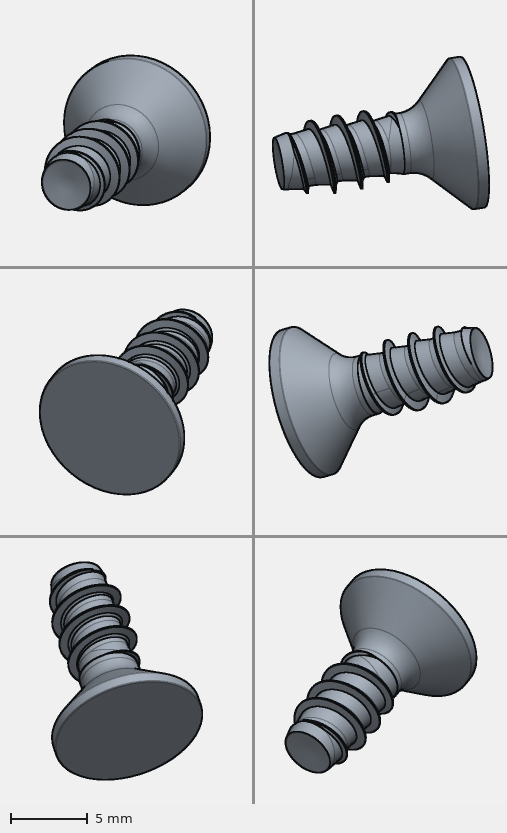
import cadquery as cq
import math


total_length = 13.0
head_radius = 5.0
rim_height = 0.75
rim_edge_radius = 0.06
cone_half_angle = 45.0
neck_radius = 2.0
neck_end_y = -4.99
neck_fillet_radius = 2.0

core_radius = 1.78
core_overlap = 0.65
shoulder_radius = 1.98
shoulder_length = 0.88
tip_radius = 1.72
tip_taper_length = 0.85
tip_taper_radius = 1.92
envelope_clearance = 0.13
tip_recess_radius = 1.65
tip_recess_depth = 0.26

pitch = 1.8
thread_origin_y = -4.46
thread_start_turn = -0.4
thread_end_turn = 4.9
points_per_turn = 16
thread_spans = 5
crest_radius = 2.5
crest_half_width = 0.05
lead_in_radius = 2.0
lead_in_growth = 0.39
runout_start_turn = 3.25
runout_loss = 0.44

flare_top_offset = 0.17
flare_top_drop = 0.55
flare_offset = 0.34
flare_drop = 0.75

ramp_top_offset = -0.2
ramp_top_radius = 1.92
ramp_end_offset = -1.4
ramp_end_radius = 1.74
buried_radius = 0.78


def make_head_and_neck():
    """Revolve the head, the cone, the concave fillet and the neck."""
    cone_angle = math.radians(cone_half_angle)
    junction_radius = neck_radius + neck_fillet_radius * (1 - math.cos(cone_angle))
    junction_y = -rim_height - (head_radius - junction_radius) / math.tan(cone_angle)
    fillet_end_y = junction_y - neck_fillet_radius * math.sin(cone_angle)
    fillet_mid_angle = cone_angle / 2
    fillet_mid = (
        neck_radius + neck_fillet_radius * (1 - math.cos(fillet_mid_angle)),
        fillet_end_y + neck_fillet_radius * math.sin(fillet_mid_angle),
    )
    body = (
        cq.Workplane("XY")
        .lineTo(head_radius, 0)
        .lineTo(head_radius, -rim_height)
        .lineTo(junction_radius, junction_y)
        .threePointArc(fillet_mid, (neck_radius, fillet_end_y))
        .lineTo(neck_radius, neck_end_y)
        .lineTo(0, neck_end_y)
        .close()
        .revolve(360, (0, 0), (0, 1))
    )
    rim_edges = body.edges("%CIRCLE").edges(cq.selectors.RadiusNthSelector(-1))
    return rim_edges.fillet(rim_edge_radius)


def make_core():
    """Core that carries the thread, started inside the neck and narrowing below it."""
    return (
        cq.Workplane("XY")
        .moveTo(0, neck_end_y + core_overlap)
        .lineTo(shoulder_radius, neck_end_y + core_overlap)
        .lineTo(shoulder_radius, neck_end_y)
        .lineTo(core_radius, neck_end_y - shoulder_length)
        .lineTo(core_radius, -total_length)
        .lineTo(0, -total_length)
        .close()
        .revolve(360, (0, 0), (0, 1))
    )


def crest_radius_at(turn):
    """Crest radius, growing out of the neck and fading away at the tip."""
    lead_in = lead_in_radius + lead_in_growth * turn
    runout = crest_radius - runout_loss * (turn - runout_start_turn)
    return min(crest_radius, lead_in, runout)


def helix_edge(offset, drop=0.0, top_radius=crest_radius):
    """Helical edge at an axial offset from the crest and a drop below it, up to a top radius."""
    count = round((thread_end_turn - thread_start_turn) * points_per_turn)
    step = (thread_end_turn - thread_start_turn) / count
    points = []
    for i in range(count + 1):
        turn = thread_start_turn + i * step
        radius = min(top_radius, crest_radius_at(turn) - drop)
        angle = 2 * math.pi * turn
        y = thread_origin_y - pitch * turn + offset
        points.append(cq.Vector(radius * math.cos(angle), y, radius * math.sin(angle)))
    return cq.Edge.makeSpline(points, parameters=[i / count for i in range(count + 1)])


def make_thread():
    """Solid bounded by ruled faces between the helical edges of the thread profile.

    The faces are split into spans of about one turn, so each surface stays simple.
    """
    edges = [
        helix_edge(flare_offset, top_radius=buried_radius),
        helix_edge(flare_offset, drop=flare_drop),
        helix_edge(flare_top_offset, drop=flare_top_drop),
        helix_edge(crest_half_width),
        helix_edge(-crest_half_width),
        helix_edge(ramp_top_offset, top_radius=ramp_top_radius),
        helix_edge(ramp_end_offset, top_radius=ramp_end_radius),
        helix_edge(ramp_end_offset, top_radius=buried_radius),
    ]
    next_edges = edges[1:] + edges[:1]
    faces = []
    for edge, next_edge in zip(edges, next_edges):
        for i in range(thread_spans):
            span = (i / thread_spans, (i + 1) / thread_spans)
            faces.append(cq.Face.makeRuledSurface(edge.trim(*span), next_edge.trim(*span)))
    for end in (0, 1):
        corners = [edge.positionAt(end) for edge in edges]
        faces.append(cq.Face.makeFromWires(cq.Wire.makePolygon(corners, close=True)))
    return cq.Workplane(cq.Solid.makeSolid(cq.Shell.makeShell(faces)).fix())


def make_shank_envelope():
    """Limits of the threaded shank: flat under the neck, tapered at the tip."""
    taper_y = tip_taper_length - total_length
    outer_radius = crest_radius + envelope_clearance
    return (
        cq.Workplane("XY")
        .moveTo(0, neck_end_y)
        .lineTo(outer_radius, neck_end_y)
        .lineTo(outer_radius, taper_y)
        .lineTo(tip_taper_radius, taper_y)
        .lineTo(tip_radius, -total_length)
        .lineTo(0, -total_length)
        .close()
        .revolve(360, (0, 0), (0, 1))
    )


def make_tip_recess():
    """Shallow conical hollow in the tip face."""
    return (
        cq.Workplane("XY")
        .moveTo(0, -total_length)
        .lineTo(tip_recess_radius, -total_length)
        .lineTo(0, tip_recess_depth - total_length)
        .close()
        .revolve(360, (0, 0), (0, 1))
    )


shank = make_core().union(make_thread()).intersect(make_shank_envelope())
result = make_head_and_neck().union(shank).cut(make_tip_recess())